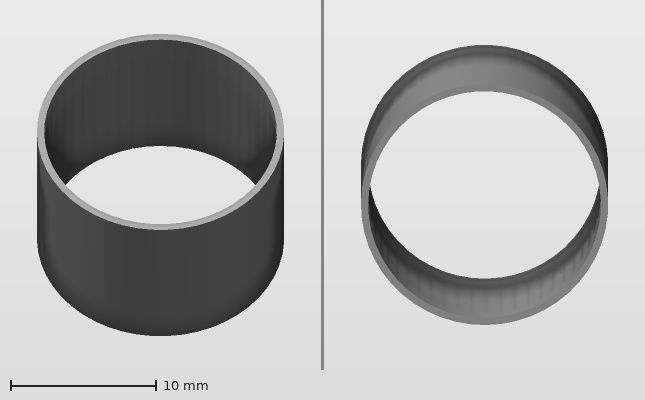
import cadquery as cq

outer_diameter = 17.0
wall_thickness = 0.5
height = 12.0

inner_diameter = outer_diameter - 2 * wall_thickness


def make_sleeve():
    """Extrude the ring between the outer and inner circles."""
    return (
        cq.Workplane("XY")
        .circle(outer_diameter / 2)
        .circle(inner_diameter / 2)
        .extrude(height)
    )


result = make_sleeve()